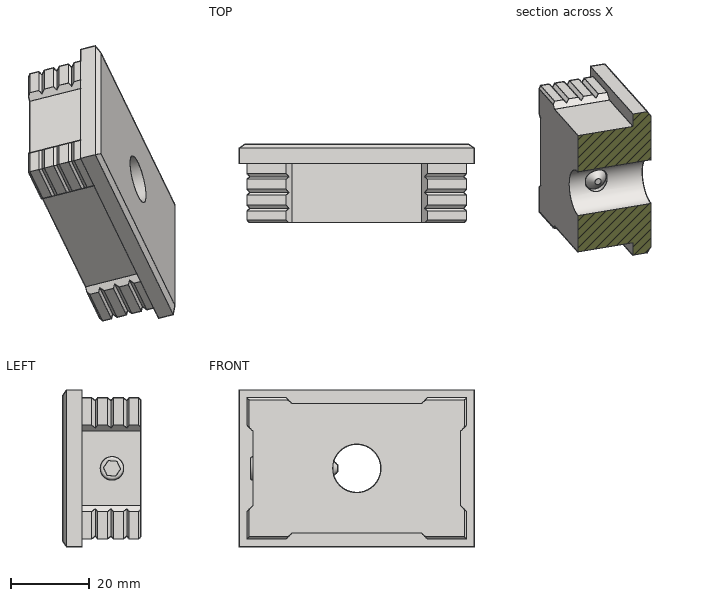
import cadquery as cq

flange_width = 60.0
flange_height = 40.0
flange_thickness = 5.0
bevel_inset = 1.5
bevel_depth = 1.0

core_width = 56.0
core_height = 36.0
core_depth = 15.0

groove_count = 3
first_groove_y = 3.0
groove_pitch = 4.0
groove_width = 1.5
groove_root_offset = 0.6
groove_depth = 0.7
front_chamfer = 0.6

recess_depth = 1.5
wide_recess_length = 33.0
side_recess_length = 19.0

bore_diameter = 12.25

screw_diameter = 6.0
screw_center_y = 7.4
screw_head_x = -27.1
screw_tip_x = -4.8
screw_tip_diameter = 1.7
screw_rim_radius = 0.65
screw_cone_length = (screw_diameter - screw_tip_diameter) / 2
socket_corner_diameter = 4.4
socket_depth = 3.9
socket_turn = 4.5


def rectangle_wire(width, height, y, inset):
    """Rectangle across the Y axis, drawn in by inset on all four sides."""
    outline = cq.Workplane("XZ", origin=(0, y, 0)).rect(width - 2 * inset, height - 2 * inset)
    return outline.val()


def make_stepped_block(width, height, stations):
    """Block along Y with flat flanks between stations, each a (y, inset) pair."""
    wires = [rectangle_wire(width, height, y, inset) for y, inset in stations]
    return cq.Workplane(cq.Solid.makeLoft(wires, True))


def make_flange():
    back_y = core_depth + flange_thickness
    stations = [(core_depth, 0), (back_y - bevel_depth, 0), (back_y, bevel_inset)]
    return make_stepped_block(flange_width, flange_height, stations)


def make_ribbed_core():
    stations = [(0, front_chamfer), (front_chamfer, 0)]
    for index in range(groove_count):
        groove_y = first_groove_y + index * groove_pitch
        stations.append((groove_y, 0))
        stations.append((groove_y + groove_root_offset, groove_depth))
        stations.append((groove_y + groove_width, 0))
    stations.append((core_depth, 0))
    return make_stepped_block(core_width, core_height, stations)


def make_recess(floor_length, side_distance):
    """Cutter for a recess in the top side, side_distance above the center."""
    half_floor = floor_length / 2
    half_mouth = half_floor + recess_depth
    return (
        cq.Workplane("XZ")
        .polyline([
            (-half_floor, side_distance - recess_depth),
            (half_floor, side_distance - recess_depth),
            (half_mouth, side_distance),
            (-half_mouth, side_distance),
        ])
        .close()
        .extrude(-core_depth)
    )


def make_housing():
    core = make_ribbed_core()
    wide_recess = make_recess(wide_recess_length, core_height / 2)
    side_recess = make_recess(side_recess_length, core_width / 2)
    for turn in (0, 180):
        core = core.cut(wide_recess.rotate((0, 0, 0), (0, 1, 0), turn))
        core = core.cut(side_recess.rotate((0, 0, 0), (0, 1, 0), turn + 90))
    bore = cq.Workplane("XZ").circle(bore_diameter / 2).extrude(-(core_depth + flange_thickness))
    screw_hole = (
        cq.Workplane("YZ", origin=(-core_width / 2, screw_center_y, 0))
        .circle(screw_diameter / 2)
        .extrude(core_width / 2)
    )
    return core.union(make_flange()).cut(bore).cut(screw_hole)


def make_set_screw():
    shank_length = screw_tip_x - screw_head_x
    shank = (
        cq.Workplane("YZ", origin=(screw_head_x, screw_center_y, 0))
        .circle(screw_diameter / 2)
        .extrude(shank_length)
    )
    shank = shank.faces(">X").chamfer(screw_cone_length).faces("<X").edges().fillet(screw_rim_radius)
    socket = (
        cq.Workplane("YZ", origin=(screw_head_x, screw_center_y, 0))
        .transformed(rotate=(0, 0, socket_turn))
        .polygon(6, socket_corner_diameter)
        .extrude(socket_depth)
    )
    return shank.cut(socket)


housing = make_housing()
set_screw = make_set_screw()
result = cq.Compound.makeCompound([housing.val(), set_screw.val()])